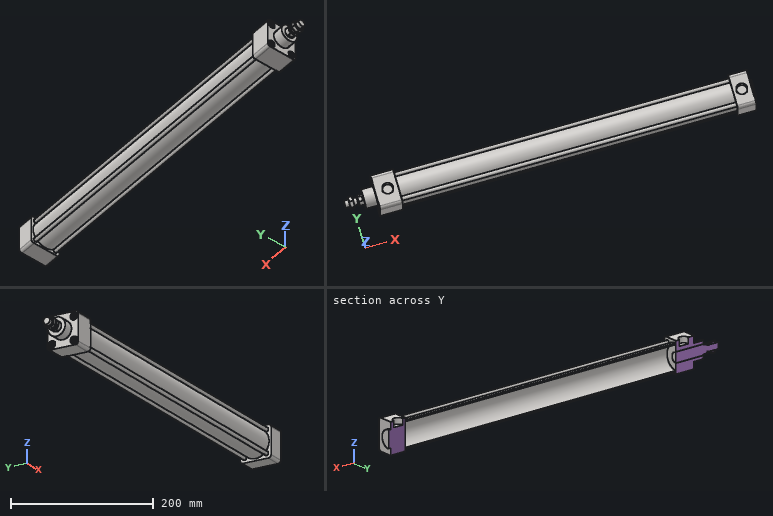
import cadquery as cq
import math

overall_length = 596.9
rod_tip_x = -overall_length / 2
rear_boss_length = 3.175
boss_diameter = 28.57
front_boss_length = 17.1
front_head_length = 33.3
rear_cap_length = 26.99
rod_extension = 27.4
boss_front_x = rod_tip_x + rod_extension
head_front_x = boss_front_x + front_boss_length
tube_front_x = head_front_x + front_head_length
cap_rear_x = overall_length / 2 - rear_boss_length
tube_rear_x = cap_rear_x - rear_cap_length
tube_length = tube_rear_x - tube_front_x

block_size = 50.8
corner_radius = 4.5
port_diameter = 15.88
port_bottom_diameter = 15.28
port_taper = 1 / 16
port_depth = (port_diameter - port_bottom_diameter) / port_taper
port_taper_angle = math.degrees(math.atan(port_taper / 2))
front_port_x = tube_front_x - 14.9
rear_port_x = tube_rear_x + 12.9

tube_outer_diameter = 44.45
tube_bore = 38.1

tie_rod_diameter = 6.35
tie_rod_offset = (tube_outer_diameter + tie_rod_diameter) / 2 / math.sqrt(2)
tie_rod_positions = [(y * tie_rod_offset, z * tie_rod_offset) for y in (-1, 1) for z in (-1, 1)]
tie_rod_head_diameter = 9.4
tie_rod_head_length = 6.35
counterbore_diameter = 11.18
counterbore_depth = 7.0
socket_across_flats = 4.76
socket_depth = 3.0
tie_rod_depth_in_cap = 19.05

rod_diameter = 15.88
thread_diameter = 11.11
thread_length = 19.84
undercut_diameter = 9.74
undercut_length = 1.6
flats_across = 14.29
flats_length = 5.9

nut_across_flats = 15.88
nut_thickness = 6.35
nut_front_x = rod_tip_x + 6.35
nut_face_diameter = 15.28
nut_chamfer_angle = 30


def cylinder_x(diameter, start_x, length, y=0, z=0):
    """Cylinder along +X starting at start_x."""
    return cq.Workplane("YZ", origin=(start_x, y, z)).circle(diameter / 2).extrude(length)


def hexagon_x(across_flats, start_x, length, y=0, z=0):
    """Hexagonal prism along +X with corners up and down."""
    hex_radius = across_flats / math.sqrt(3)
    corner_angles = [math.radians(30 + 60 * i) for i in range(6)]
    corners = [
        (hex_radius * math.cos(angle), hex_radius * math.sin(angle))
        for angle in corner_angles
    ]
    return cq.Workplane("YZ", origin=(start_x, y, z)).polyline(corners).close().extrude(length)


def end_block(start_x, length, port_x):
    """Square block with rounded long edges and a tapered port in its top face."""
    block = (
        cq.Workplane("YZ", origin=(start_x, 0, 0))
        .rect(block_size, block_size)
        .extrude(length)
        .edges("|X")
        .fillet(corner_radius)
    )
    port = (
        cq.Workplane("XY", origin=(port_x, 0, block_size / 2))
        .circle(port_diameter / 2)
        .extrude(-port_depth, taper=port_taper_angle)
    )
    return block.cut(port)


def make_front_head():
    """Front block with its boss, rod bore and counterbored tie rod holes."""
    head = end_block(head_front_x, front_head_length, front_port_x)
    head = head.union(cylinder_x(boss_diameter, boss_front_x, front_boss_length))
    head = head.cut(cylinder_x(rod_diameter, boss_front_x, tube_front_x - boss_front_x))
    for y, z in tie_rod_positions:
        head = head.cut(cylinder_x(counterbore_diameter, head_front_x, counterbore_depth, y, z))
        head = head.cut(cylinder_x(tie_rod_diameter, head_front_x, front_head_length, y, z))
    return head


def make_rear_cap():
    """Rear block with its boss and blind tie rod holes."""
    cap = end_block(tube_rear_x, rear_cap_length, rear_port_x)
    cap = cap.union(cylinder_x(boss_diameter, cap_rear_x, rear_boss_length))
    for y, z in tie_rod_positions:
        cap = cap.cut(cylinder_x(tie_rod_diameter, tube_rear_x, tie_rod_depth_in_cap, y, z))
    return cap


def make_tube():
    """Barrel clamped between the two end blocks."""
    outside = cylinder_x(tube_outer_diameter, tube_front_x, tube_length)
    return outside.cut(cylinder_x(tube_bore, tube_front_x, tube_length))


def make_tie_rod(y, z):
    """Tie rod with a socket head sunk in the front head."""
    seat_x = head_front_x + counterbore_depth
    shank = cylinder_x(tie_rod_diameter, seat_x, tube_rear_x + tie_rod_depth_in_cap - seat_x, y, z)
    head_x = seat_x - tie_rod_head_length
    head = cylinder_x(tie_rod_head_diameter, head_x, tie_rod_head_length, y, z)
    socket = hexagon_x(socket_across_flats, head_x, socket_depth, y, z)
    return shank.union(head).cut(socket)


def make_piston_rod():
    """Rod with a threaded end, an undercut and two wrench flats facing up and down."""
    thread = cylinder_x(thread_diameter, rod_tip_x, thread_length - undercut_length)
    undercut_x = rod_tip_x + thread_length - undercut_length
    undercut = cylinder_x(undercut_diameter, undercut_x, undercut_length)
    shoulder_x = rod_tip_x + thread_length
    rod = cylinder_x(rod_diameter, shoulder_x, tube_front_x - shoulder_x)
    for side in (-1, 1):
        relief_z = side * (flats_across + rod_diameter) / 2
        relief = cq.Workplane("XY", origin=(shoulder_x + flats_length / 2, 0, relief_z)).box(
            flats_length, rod_diameter, rod_diameter
        )
        rod = rod.cut(relief)
    return rod.union(undercut).union(thread)


def make_nut():
    """Hex nut with corners up and down and a chamfered front face."""
    blank = hexagon_x(nut_across_flats, nut_front_x, nut_thickness)
    cone_radius = nut_face_diameter / 2 + nut_thickness / math.tan(math.radians(nut_chamfer_angle))
    cone = (
        cq.Workplane("XZ", origin=(nut_front_x, 0, 0))
        .polyline([(0, 0), (0, nut_face_diameter / 2), (nut_thickness, cone_radius), (nut_thickness, 0)])
        .close()
        .revolve(360, (0, 0, 0), (1, 0, 0))
    )
    return blank.intersect(cone).cut(cylinder_x(thread_diameter, nut_front_x, nut_thickness))


front_head = make_front_head()
rear_cap = make_rear_cap()
tube = make_tube()
piston_rod = make_piston_rod()
nut = make_nut()
tie_rods = [make_tie_rod(y, z) for y, z in tie_rod_positions]

result = cq.Compound.makeCompound(
    [
        front_head.val(),
        rear_cap.val(),
        tube.val(),
        piston_rod.val(),
        nut.val(),
        *[tie_rod.val() for tie_rod in tie_rods],
    ]
)